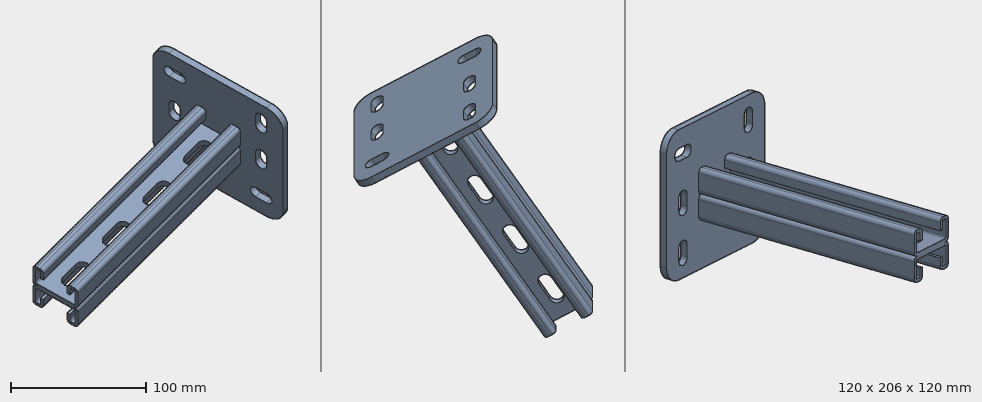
import cadquery as cq

total_length = 206.0
plate_size = 120.0
plate_thickness = 6.0
plate_corner_radius = 15.0
arm_length = total_length - plate_thickness

plate_slot_length = 20.0
plate_slot_width = 10.0
plate_slot_offset = 40.0
lying_slots = [(-1, 1), (1, -1)]
standing_slots = [(-1, 0), (-1, -1), (1, 1), (1, 0)]

channel_width = 41.6
channel_depth = 21.0
sheet_thickness = 2.7
lip_width = 9.9
lip_depth = 10.0
outer_bend_radius = 3.5
inner_bend_radius = outer_bend_radius - sheet_thickness

web_slot_length = 27.0
web_slot_width = 11.0
web_slot_count = 4
web_slot_pitch = 50.0
first_web_slot = 25.0


def make_plate():
    """Square plate with rounded corners, its front face at Y = 0."""
    plate = cq.Workplane("XY").box(
        plate_size, plate_thickness, plate_size, centered=(True, False, True)
    )
    return plate.edges("|Y").fillet(plate_corner_radius)


def plate_slots(grid_places, angle):
    """Cutters for plate slots, placed on a grid of plate_slot_offset."""
    centres = [(i * plate_slot_offset, k * plate_slot_offset) for i, k in grid_places]
    return (
        cq.Workplane("XZ")
        .pushPoints(centres)
        .slot2D(plate_slot_length, plate_slot_width, angle)
        .extrude(-plate_thickness)
    )


def make_upper_channel():
    """Channel standing on Z = 0, open at the top between two inturned lips."""
    wall_outside = channel_width / 2
    wall_inside = wall_outside - sheet_thickness
    lip_outside = wall_outside - lip_width
    lip_inside = lip_outside + sheet_thickness
    flange_underside = channel_depth - sheet_thickness
    lip_tip = channel_depth - lip_depth

    outer_bends = [
        (wall_outside, 0),
        (wall_outside, channel_depth),
        (lip_outside, channel_depth),
    ]
    inner_bends = [
        (lip_inside, flange_underside),
        (wall_inside, flange_underside),
        (wall_inside, sheet_thickness),
    ]
    lip_end = [(lip_outside, lip_tip), (lip_inside, lip_tip)]
    right_half = outer_bends + lip_end + inner_bends
    left_half = [(-x, z) for x, z in reversed(right_half)]
    channel = cq.Workplane("XZ").polyline(right_half + left_half).close().extrude(arm_length)

    for corners, radius in ((outer_bends, outer_bend_radius), (inner_bends, inner_bend_radius)):
        for x, z in corners:
            for side in (-1, 1):
                bend_edge = cq.selectors.NearestToPointSelector((side * x, -arm_length / 2, z))
                channel = channel.edges(bend_edge).fillet(radius)
    return channel


def web_slots():
    """Cutters for the row of slots through the joined webs."""
    centres = [(0, -first_web_slot - n * web_slot_pitch) for n in range(web_slot_count)]
    return (
        cq.Workplane("XY")
        .pushPoints(centres)
        .slot2D(web_slot_length, web_slot_width, 90)
        .extrude(sheet_thickness, both=True)
    )


plate = make_plate().cut(plate_slots(lying_slots, 0)).cut(plate_slots(standing_slots, 90))

upper_channel = make_upper_channel()
lower_channel = upper_channel.mirror("XY")
arm = upper_channel.union(lower_channel).cut(web_slots())

result = plate.union(arm)